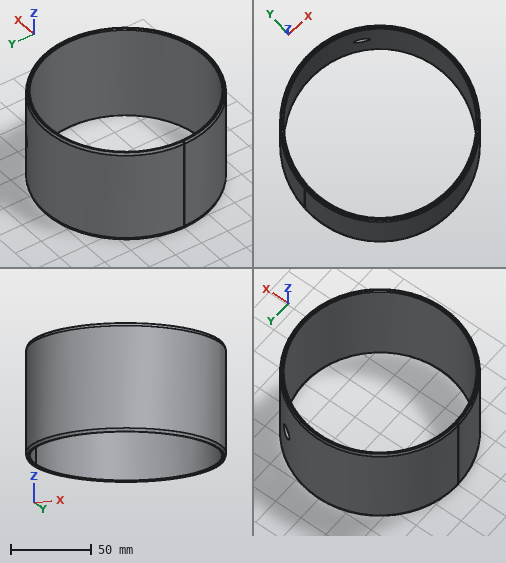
import cadquery as cq

outer_diameter = 125.0
wall = 2.5
height = 70.0
slit_width = 1.0
hole_diameter = 10.0
hole_angle = 59.0

outer_chamfer_height = 2.0
outer_chamfer_depth = 0.8
inner_chamfer = 0.8

outer_radius = outer_diameter / 2
inner_radius = outer_radius - wall
half_height = height / 2


def wall_ring():
    """Revolve the chamfered wall section about Z."""
    outer_end_radius = outer_radius - outer_chamfer_depth
    inner_end_radius = inner_radius + inner_chamfer
    outer_edge = half_height - outer_chamfer_height
    inner_edge = half_height - inner_chamfer
    section = [
        (inner_radius, -inner_edge),
        (inner_end_radius, -half_height),
        (outer_end_radius, -half_height),
        (outer_radius, -outer_edge),
        (outer_radius, outer_edge),
        (outer_end_radius, half_height),
        (inner_end_radius, half_height),
        (inner_radius, inner_edge),
    ]
    return cq.Workplane("XZ").polyline(section).close().revolve(360, (0, 0), (0, 1))


def slit():
    """Full-height cut through the -X side of the wall, with one face on the XZ plane."""
    blank = cq.Workplane("XY").box(outer_radius, slit_width, height)
    return blank.translate((-outer_radius, slit_width / 2, 0))


def oil_hole():
    """Radial hole through the wall, at mid height."""
    drill = cq.Workplane("YZ").circle(hole_diameter / 2).extrude(outer_diameter)
    return drill.rotate((0, 0, 0), (0, 0, 1), hole_angle)


result = wall_ring().cut(slit()).cut(oil_hole())